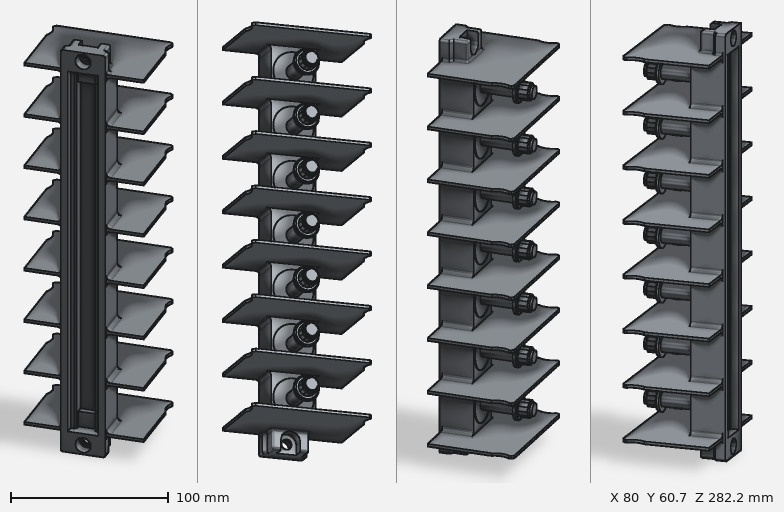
import cadquery as cq
import math


length = 282.2
half_length = length / 2

plate_count = 8
plate_span = 252.3
plate_pitch = plate_span / (plate_count - 1)
plate_thickness = 2.0
plate_width = 80.0
plate_front = 2.0
plate_back = 60.7
plate_corner_radius = 1.7
notch_start = 45.7
notch_end = 57.5
notch_depth = 1.7

body_width = 30.0
body_depth = 23.5
body_fillet = 2.8

foot_depth = 18.0
foot_back_width = 24.8
shoulder_start = 6.8
shoulder_end = 8.7
foot_round = 1.7
foot_corner_radius = 1.0

hole_z = 134.5
screw_bore_diameter = 10.2
screw_bore_depth = 8.0
through_diameter = 6.8
nut_slot_width = 13.0
nut_slot_floor = 10.5

channel_length = 252.9
channel_steps = [(20.3, 5.5), (15.2, 6.2), (12.5, 13.5)]
stop_height = 10.7
stop_front = 9.0

flange_diameter = 27.0
flange_thickness = 0.5
stud_diameter = 10.0
washer_diameter = 16.6
washer_front = 47.5
washer_thickness = 2.5
washer_chamfer = 0.8
nut_sides = 12
nut_corner_diameter = 11.9
nut_chamfer = 0.8
nut_back = 57.3
stud_tip_diameter = 8.5
stud_tip_back = 59.0

overlap = 0.8


def box(width, y_start, y_end, z_low, z_high):
    """Box centred on X = 0."""
    size = (width, y_end - y_start, z_high - z_low)
    return cq.Workplane("XY").box(*size, centered=(True, False, False)).translate((0, y_start, z_low))


def rod(diameter, y_start, y_end, z):
    """Round rod along Y."""
    base = cq.Workplane("XZ", origin=(0, y_start, z))
    return base.circle(diameter / 2).extrude(y_start - y_end)


def plate_heights():
    return [-plate_span / 2 + i * plate_pitch for i in range(plate_count)]


def barrier_plate(z):
    """Flat plate with a shallow arc notch in each side edge near the back."""
    half = plate_width / 2
    notch_middle = (notch_start + notch_end) / 2
    return (
        cq.Workplane("XY", origin=(0, 0, z - plate_thickness / 2))
        .moveTo(-half, plate_front)
        .lineTo(half, plate_front)
        .lineTo(half, notch_start)
        .threePointArc((half - notch_depth, notch_middle), (half, notch_end))
        .lineTo(half, plate_back - plate_corner_radius)
        .lineTo(half - plate_corner_radius, plate_back)
        .lineTo(plate_corner_radius - half, plate_back)
        .lineTo(-half, plate_back - plate_corner_radius)
        .lineTo(-half, notch_end)
        .threePointArc((notch_depth - half, notch_middle), (-half, notch_start))
        .close()
        .extrude(plate_thickness)
    )


def root_fillet(side, z, direction):
    """Concave fillet where a plate meets a side of the body, on one face of the plate."""
    x = side * body_width / 2
    z_face = z + direction * plate_thickness / 2
    inset = body_fillet * (1 - math.sqrt(0.5))
    return (
        cq.Workplane("XZ", origin=(0, plate_front, 0))
        .moveTo(x - side * overlap, z_face - direction * overlap)
        .lineTo(x + side * body_fillet, z_face - direction * overlap)
        .lineTo(x + side * body_fillet, z_face)
        .threePointArc((x + side * inset, z_face + direction * inset), (x, z_face + direction * body_fillet))
        .lineTo(x - side * overlap, z_face + direction * body_fillet)
        .close()
        .extrude(plate_front - body_depth)
    )


def foot_outline():
    """Points around a foot, wide at the front and stepped in toward the back."""
    half_front = body_width / 2
    half_back = foot_back_width / 2
    right_side = [
        (half_front, 0),
        (half_front, shoulder_start),
        (half_back, shoulder_end),
        (half_back, foot_depth),
    ]
    left_side = [(-x, y) for x, y in reversed(right_side)]
    return right_side + left_side


def edges_behind_front(z, tolerance=0.03):
    """Selector for the edges of a foot outline at height z, without the front edge."""
    half_front = body_width / 2 + tolerance
    corner_low = (-half_front, tolerance, z - tolerance)
    corner_high = (half_front, foot_depth + tolerance, z + tolerance)
    return cq.selectors.BoxSelector(corner_low, corner_high)


def feet_and_end_plates():
    """Full-length foot bar with rounded ends, blended into the two outermost plates."""
    outer_face = (plate_span + plate_thickness) / 2
    bar = cq.Workplane("XY", origin=(0, 0, -half_length)).polyline(foot_outline()).close().extrude(length)
    bar = bar.edges("|Z and >Y").fillet(foot_corner_radius)
    for end in (-1, 1):
        bar = bar.edges(edges_behind_front(end * half_length)).fillet(foot_round)
        bar = bar.union(barrier_plate(end * plate_span / 2))
        bar = bar.edges(edges_behind_front(end * outer_face)).fillet(foot_round)
    return bar


def mounting_hole(end):
    """Stepped screw hole with a nut slot open to the back and to the end of the foot."""
    z = end * hole_z
    z_low, z_high = sorted((z, end * half_length))
    return (
        rod(nut_slot_width, nut_slot_floor, body_depth, z)
        .union(box(nut_slot_width, nut_slot_floor, body_depth, z_low, z_high))
        .union(rod(screw_bore_diameter, 0, screw_bore_depth, z))
        .union(rod(through_diameter, 0, body_depth, z))
    )


def front_channel():
    """Stepped channel, with a stop block left standing at each end."""
    half = channel_length / 2
    first_width, first_depth = channel_steps[0]
    channel = box(first_width, 0, first_depth, -half, half)
    for width, depth in channel_steps[1:]:
        channel = channel.union(box(width, 0, depth, -half, half))
    deepest = channel_steps[-1][1]
    for z_low in (-half, half - stop_height):
        channel = channel.cut(box(body_width, stop_front, deepest, z_low, z_low + stop_height))
    return channel


def stud(z):
    """Base flange, stud, washer, twelve-sided nut and stud tip."""
    washer_back = washer_front + washer_thickness
    washer = rod(washer_diameter, washer_front, washer_back, z).faces(">Y").chamfer(washer_chamfer)
    nut = (
        cq.Workplane("XZ", origin=(0, washer_back - overlap, z))
        .polygon(nut_sides, nut_corner_diameter)
        .extrude(washer_back - overlap - nut_back)
        .faces(">Y")
        .chamfer(nut_chamfer)
    )
    return (
        rod(flange_diameter, body_depth - overlap, body_depth + flange_thickness, z)
        .union(rod(stud_diameter, body_depth, washer_front + overlap, z))
        .union(washer)
        .union(nut)
        .union(rod(stud_tip_diameter, washer_back, stud_tip_back, z))
    )


strip = feet_and_end_plates().union(box(body_width, 0, body_depth, -plate_span / 2, plate_span / 2))

for z in plate_heights()[1:-1]:
    strip = strip.union(barrier_plate(z))

for z in plate_heights()[:-1]:
    for side in (-1, 1):
        strip = strip.union(root_fillet(side, z, 1))
        strip = strip.union(root_fillet(side, z + plate_pitch, -1))

for z in plate_heights()[:-1]:
    strip = strip.union(stud(z + plate_pitch / 2))

strip = strip.cut(front_channel())
for end in (-1, 1):
    strip = strip.cut(mounting_hole(end))

result = strip